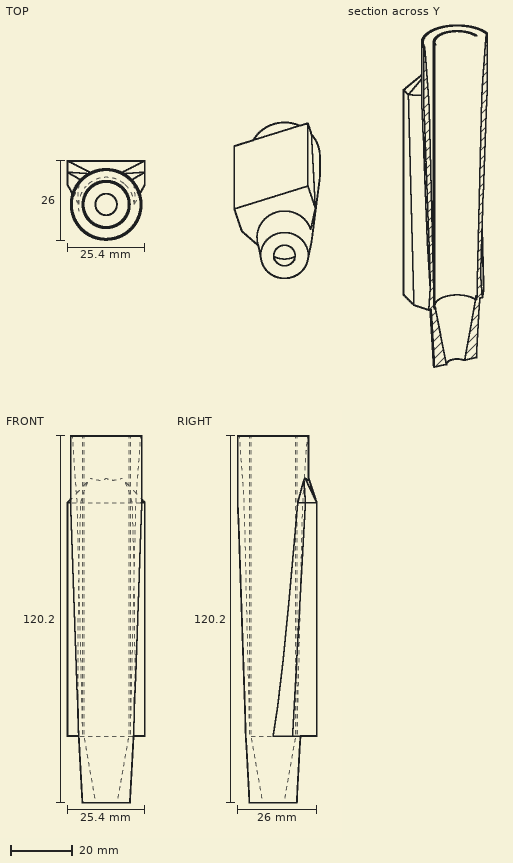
import cadquery as cq

total_height = 120.2
end_length = 21.9
body_bottom = end_length
body_top = total_height - end_length

tip_radius = 7.8
waist_radius = 9.0
head_radius = 11.7

mouth_radius = head_radius - 0.5
cavity_step_radius = 9.6
liner_radius = 7.8
liner_wall = 0.5
liner_bore_radius = liner_radius - liner_wall
outlet_radius = 3.5

fin_half_width = 12.68
fin_back = 14.3
fin_side_front_bottom = 6.4
fin_side_front_top = 10.6
root_top_x = 8.4
root_top_y = 8.0
apex_height = 106.4
apex_x = 5.2
apex_y = 10.5
apex_root_y = 9.6


def revolve_profile(points):
    """Turn a closed (radius, height) outline about the Z axis."""
    return cq.Workplane("XZ").polyline(points).close().revolve(360, (0, 0), (0, 1))


def fin_section(height, back_middle, back_corner, side_front, root):
    """Symmetric fin outline at one height; each corner is an (x, y) on the +X side."""
    right = [back_corner, side_front, root]
    left = [(-x, y) for x, y in reversed(right)]
    points = [(0, back_middle)] + right + left
    return cq.Wire.makePolygon([cq.Vector(x, y, height) for x, y in points], close=True)


def make_barrel():
    """Straight head, tapered body and tapered tip."""
    return revolve_profile([
        (0, 0),
        (tip_radius, 0),
        (waist_radius, body_bottom),
        (head_radius, body_top),
        (head_radius, total_height),
        (0, total_height),
    ])


def make_fin():
    """Fin with twisted shoulders and a roof running up onto the head."""
    back_corner = (fin_half_width, fin_back)
    bottom = fin_section(body_bottom, fin_back, back_corner,
                         (fin_half_width, fin_side_front_bottom), (waist_radius, 0))
    top = fin_section(body_top, fin_back, back_corner,
                      (fin_half_width, fin_side_front_top), (root_top_x, root_top_y))
    apex = fin_section(apex_height, head_radius, (apex_x, apex_y),
                       (apex_x, (apex_y + apex_root_y) / 2), (apex_x, apex_root_y))
    plate = cq.Solid.makeLoft([bottom, top], True)
    roof = cq.Solid.makeLoft([top, apex], True)
    return cq.Workplane(plate).union(cq.Workplane(roof))


def make_cavity():
    """Stepped-taper cavity with a funnel outlet through the tip."""
    return revolve_profile([
        (0, 0),
        (outlet_radius, 0),
        (liner_bore_radius, body_bottom),
        (liner_radius, body_bottom),
        (cavity_step_radius, body_top),
        (mouth_radius, total_height),
        (0, total_height),
    ])


def make_housing():
    return make_barrel().union(make_fin()).cut(make_cavity())


def make_liner():
    """Thin tube standing on the ledge above the funnel, flush with the mouth."""
    return (
        cq.Workplane("XY")
        .workplane(offset=body_bottom)
        .circle(liner_radius)
        .circle(liner_bore_radius)
        .extrude(total_height - body_bottom)
    )


housing = make_housing()
liner = make_liner()

result = cq.Compound.makeCompound([housing.val(), liner.val()])